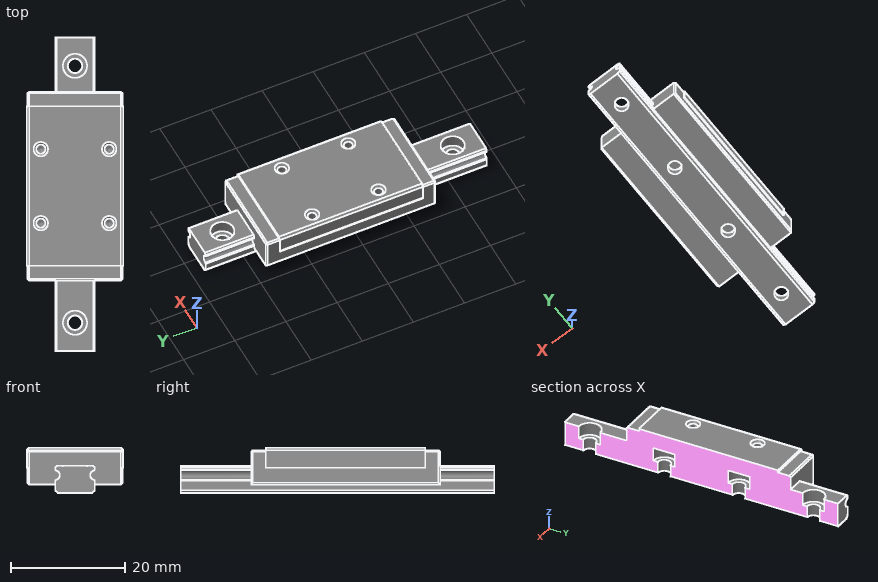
import cadquery as cq
import math

rail_length = 55.0
rail_width = 7.0
rail_height = 4.8
rail_base_chamfer = 0.5
rail_top_chamfer = 0.35

groove_center_height = 3.15
groove_half_height = 1.0
groove_depth = 0.8
groove_lip_bevel = 0.15

rail_hole_diameter = 2.5
rail_counterbore_diameter = 4.25
rail_counterbore_depth = 2.5
rail_hole_pitch = 15.0
rail_hole_count = 4

carriage_offset = 1.45
casing_width = 16.65
casing_length = 33.1
casing_bottom = 1.5
casing_top = 7.55
casing_chamfer = 0.3
block_width = 17.0
block_length = 28.0
block_bottom = 4.45
block_top = 8.0
block_chamfer = 0.45

tapped_spacing_x = 12.0
tapped_spacing_y = 13.0
tapped_rim_diameter = 2.55
tapped_bore_diameter = 1.6
tapped_depth = 2.5
drill_point_angle = 118.0


def cylinder(diameter, bottom, top):
    """Upright cylinder on the Z axis between two heights."""
    return cq.Workplane("XY").workplane(offset=bottom).circle(diameter / 2).extrude(top - bottom)


def box(width, length, bottom, top):
    """Block centred on the carriage, between two heights."""
    return (
        cq.Workplane("XY")
        .box(width, length, top - bottom, centered=(True, True, False))
        .translate((0, carriage_offset, bottom))
    )


def make_rail():
    half_width = rail_width / 2
    groove_bottom = groove_center_height - groove_half_height
    groove_top = groove_center_height + groove_half_height
    groove_root = half_width - groove_depth
    arc_edge = half_width - groove_lip_bevel
    arc_bottom = groove_bottom + groove_lip_bevel
    arc_top = groove_top - groove_lip_bevel
    profile = (
        cq.Workplane("XZ", origin=(0, rail_length / 2, 0))
        .moveTo(-half_width + rail_base_chamfer, 0)
        .lineTo(half_width - rail_base_chamfer, 0)
        .lineTo(half_width, rail_base_chamfer)
        .lineTo(half_width, groove_bottom)
        .lineTo(arc_edge, arc_bottom)
        .threePointArc((groove_root, groove_center_height), (arc_edge, arc_top))
        .lineTo(half_width, groove_top)
        .lineTo(half_width, rail_height - rail_top_chamfer)
        .lineTo(half_width - rail_top_chamfer, rail_height)
        .lineTo(-half_width + rail_top_chamfer, rail_height)
        .lineTo(-half_width, rail_height - rail_top_chamfer)
        .lineTo(-half_width, groove_top)
        .lineTo(-arc_edge, arc_top)
        .threePointArc((-groove_root, groove_center_height), (-arc_edge, arc_bottom))
        .lineTo(-half_width, groove_bottom)
        .lineTo(-half_width, rail_base_chamfer)
        .close()
    )
    return profile.extrude(rail_length)


def make_carriage():
    casing = box(casing_width, casing_length, casing_bottom, casing_top)
    casing = casing.edges("not (<Z and |X)").chamfer(casing_chamfer)
    block = box(block_width, block_length, block_bottom, block_top).edges(">Z and |Y").chamfer(block_chamfer)
    return casing.union(block)


def make_rail_hole():
    """Through hole with its counterbore, ending at the top of the rail."""
    bore = cylinder(rail_hole_diameter, 0, rail_height)
    counterbore = cylinder(rail_counterbore_diameter, rail_height - rail_counterbore_depth, rail_height)
    return bore.union(counterbore)


def make_tapped_hole():
    """Blind hole with a 45 degree countersink and a conical drill point."""
    rim_radius = tapped_rim_diameter / 2
    bore_radius = tapped_bore_diameter / 2
    countersink_depth = rim_radius - bore_radius
    point_depth = bore_radius / math.tan(math.radians(drill_point_angle / 2))
    half_section = (
        cq.Workplane("XZ")
        .moveTo(0, block_top)
        .lineTo(rim_radius, block_top)
        .lineTo(bore_radius, block_top - countersink_depth)
        .lineTo(bore_radius, block_top - tapped_depth)
        .lineTo(0, block_top - tapped_depth - point_depth)
        .close()
    )
    return half_section.revolve(360, (0, 0, 0), (0, 1, 0))


result = make_rail().union(make_carriage())

rail_hole = make_rail_hole()
for index in range(rail_hole_count):
    hole_y = (index - (rail_hole_count - 1) / 2) * rail_hole_pitch
    result = result.cut(rail_hole.translate((0, hole_y, 0)))

tapped_hole = make_tapped_hole()
for side in (-1, 1):
    for end in (-1, 1):
        hole_x = side * tapped_spacing_x / 2
        hole_y = carriage_offset + end * tapped_spacing_y / 2
        result = result.cut(tapped_hole.translate((hole_x, hole_y, 0)))